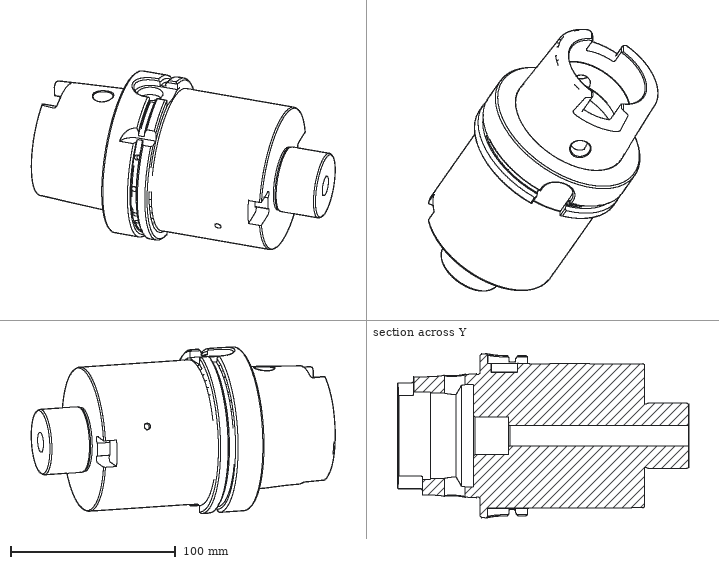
import cadquery as cq
import math


total_length = 177.0
flange_face_x = 50.0
flange_end_x = 79.0
body_end_x = 150.1

shank_end_radius = 35.4
shank_taper = 0.05
shank_taper_end_x = 48.0
shank_end_fillet = 1.2
shank_neck_radius = 37.3
shank_neck_chamfer = 0.4
shank_neck_fillet = 1.5
shank_taper_end_radius = shank_end_radius + shank_taper * shank_taper_end_x

shank_bore_radius = 26.4
shank_bore_mouth_chamfer = 0.7
collar_start_x = 19.8
collar_radius = 25.8
chamber_start_x = 35.5
chamber_radius = 31.0
chamber_cone_length = 3.2
shank_bore_depth = 46.0
coolant_bore_radius = 11.3
coolant_bore_depth = 21.2
screw_hole_radius = 6.0
bore_chamfer = 0.9
cross_hole_x = 34.7
cross_hole_radius = 6.0
cross_hole_chamfer = 0.5

flange_radius = 50.0
flange_chamfer = 1.0
groove_floor_radius = 46.0
groove_left_x = 66.7
groove_right_x = 73.1
groove_wall_left_x = 67.8
groove_wall_right_x = 71.5
groove_corner_fillet = 0.5
groove_left_wall_radius = 48.1
groove_right_wall_radius = 47.6

body_radius = 43.98
body_root_fillet = 1.0
body_end_chamfer_length = 1.0
body_end_chamfer_depth = 0.5
spigot_radius = 20.0
spigot_chamfer = 1.0
spigot_chamfer_depth = 0.7
spigot_neck_radius = 19.5
spigot_neck_length = 1.0
spigot_neck_cone = 0.9

driver_half_width = 9.82
driver_shoulder_height = 32.2
driver_corner_radius = 4.6
driver_end_fillet = 1.5
driver_mouth_chamfer = 1.15
driver_mouth_chamfer_length = 0.5
driver_top_depth = 9.7
driver_bottom_depth = 15.0

keyway_half_width = 10.0
keyway_center_x = 64.8
keyway_floor_height = 44.0
keyway_chamfer = 1.0
keyway_hole_radius = 7.8
keyway_hole_depth = 5.3

notch_offset = 31.7
notch_end_radius = 9.7
notch_tangent_x = 67.3

groove_hole_radius = 1.6
groove_hole_depth = 5.3
groove_hole_angles = (30, 5, -20, -30)
body_hole_radius = 2.0
body_hole_depth = 2.7
body_hole_x = 121.8
body_hole_angle = -20
drill_tip_angle = 118

drive_slot_half_width = 8.23
drive_slot_start_x = 142.0
drive_slot_floor = 30.1
drive_slot_relief_radius = 2.1

clear = flange_radius + 8.8
edge_margin = 0.4


def arc_setback(radius):
    """How far the middle of a square corner's fillet lies from each side of the corner."""
    return radius * (1 - math.sqrt(0.5))


def outer_body():
    """Everything that is turned on the outside, except the gripper groove."""
    neck_start_x = shank_taper_end_x + shank_neck_chamfer
    fillet_offset = arc_setback(shank_neck_fillet)
    root_offset = arc_setback(body_root_fillet)
    end_offset = arc_setback(shank_end_fillet)
    rounded_radius = shank_end_radius + shank_taper * shank_end_fillet
    spigot_cone_x = body_end_x + spigot_neck_length
    outline = (
        cq.Workplane("XY")
        .moveTo(0, 0)
        .lineTo(0, shank_end_radius - shank_end_fillet)
        .threePointArc((end_offset, shank_end_radius - end_offset), (shank_end_fillet, rounded_radius))
        .lineTo(shank_taper_end_x, shank_taper_end_radius)
        .lineTo(neck_start_x, shank_neck_radius)
        .lineTo(flange_face_x - shank_neck_fillet, shank_neck_radius)
        .threePointArc(
            (flange_face_x - fillet_offset, shank_neck_radius + fillet_offset),
            (flange_face_x, shank_neck_radius + shank_neck_fillet),
        )
        .lineTo(flange_face_x, flange_radius - flange_chamfer)
        .lineTo(flange_face_x + flange_chamfer, flange_radius)
        .lineTo(flange_end_x - flange_chamfer, flange_radius)
        .lineTo(flange_end_x, flange_radius - flange_chamfer)
        .lineTo(flange_end_x, body_radius + body_root_fillet)
        .threePointArc(
            (flange_end_x + root_offset, body_radius + root_offset),
            (flange_end_x + body_root_fillet, body_radius),
        )
        .lineTo(body_end_x - body_end_chamfer_length, body_radius)
        .lineTo(body_end_x, body_radius - body_end_chamfer_depth)
        .lineTo(body_end_x, spigot_neck_radius)
        .lineTo(spigot_cone_x, spigot_neck_radius)
        .lineTo(spigot_cone_x + spigot_neck_cone, spigot_radius)
        .lineTo(total_length - spigot_chamfer, spigot_radius)
        .lineTo(total_length, spigot_radius - spigot_chamfer_depth)
        .lineTo(total_length, 0)
        .close()
    )
    return outline.revolve(360, (0, 0, 0), (1, 0, 0))


def bores():
    """Stepped bore along the axis, each step with a chamfered mouth."""
    coolant_end_x = shank_bore_depth + coolant_bore_depth
    outline = (
        cq.Workplane("XY")
        .moveTo(0, 0)
        .lineTo(0, shank_bore_radius + shank_bore_mouth_chamfer)
        .lineTo(shank_bore_mouth_chamfer, shank_bore_radius)
        .lineTo(collar_start_x, shank_bore_radius)
        .lineTo(collar_start_x, collar_radius)
        .lineTo(chamber_start_x, collar_radius)
        .lineTo(chamber_start_x + chamber_cone_length, chamber_radius)
        .lineTo(shank_bore_depth, chamber_radius)
        .lineTo(shank_bore_depth, coolant_bore_radius + bore_chamfer)
        .lineTo(shank_bore_depth + bore_chamfer, coolant_bore_radius)
        .lineTo(coolant_end_x, coolant_bore_radius)
        .lineTo(coolant_end_x, screw_hole_radius + bore_chamfer)
        .lineTo(coolant_end_x + bore_chamfer, screw_hole_radius)
        .lineTo(total_length, screw_hole_radius)
        .lineTo(total_length, 0)
        .close()
    )
    return outline.revolve(360, (0, 0, 0), (1, 0, 0))


def gripper_groove():
    """Ring cut around the flange with two bevelled sides."""
    offset = arc_setback(groove_corner_fillet)
    corner_top = groove_floor_radius + groove_corner_fillet
    outline = (
        cq.Workplane("XY")
        .moveTo(groove_left_x, clear)
        .lineTo(groove_left_x, flange_radius)
        .lineTo(groove_wall_left_x, groove_left_wall_radius)
        .lineTo(groove_wall_left_x, corner_top)
        .threePointArc(
            (groove_wall_left_x + offset, groove_floor_radius + offset),
            (groove_wall_left_x + groove_corner_fillet, groove_floor_radius),
        )
        .lineTo(groove_wall_right_x - groove_corner_fillet, groove_floor_radius)
        .threePointArc(
            (groove_wall_right_x - offset, groove_floor_radius + offset),
            (groove_wall_right_x, corner_top),
        )
        .lineTo(groove_wall_right_x, groove_right_wall_radius)
        .lineTo(groove_right_x, flange_radius)
        .lineTo(groove_right_x, clear)
        .close()
    )
    return outline.revolve(360, (0, 0, 0), (1, 0, 0))


def cross_hole():
    return (
        cq.Workplane("XY", origin=(cross_hole_x, 0, -clear))
        .circle(cross_hole_radius)
        .extrude(2 * clear)
    )


def driver_slot(depth):
    """Slot across the upper wall of the shank; its sides curve outward near the outside."""
    corner_y = driver_half_width + driver_corner_radius
    corner_z = driver_shoulder_height - driver_corner_radius
    offset = arc_setback(driver_corner_radius)
    slot = (
        cq.Workplane("YZ")
        .moveTo(-driver_half_width, 0)
        .lineTo(-driver_half_width, corner_z)
        .threePointArc(
            (-driver_half_width - offset, driver_shoulder_height - offset),
            (-corner_y, driver_shoulder_height),
        )
        .lineTo(-clear, driver_shoulder_height)
        .lineTo(-clear, clear)
        .lineTo(clear, clear)
        .lineTo(clear, driver_shoulder_height)
        .lineTo(corner_y, driver_shoulder_height)
        .threePointArc(
            (driver_half_width + offset, driver_shoulder_height - offset),
            (driver_half_width, corner_z),
        )
        .lineTo(driver_half_width, 0)
        .close()
        .extrude(depth)
    )
    driver_reach = clear - edge_margin
    side_edges = cq.selectors.BoxSelector(
        (depth - edge_margin, -driver_reach, edge_margin),
        (depth + edge_margin, driver_reach, driver_shoulder_height + edge_margin),
    )
    slot = slot.edges(side_edges).fillet(driver_end_fillet)
    mouth = (
        cq.Workplane("XY")
        .moveTo(0, -driver_half_width - driver_mouth_chamfer)
        .lineTo(driver_mouth_chamfer_length, -driver_half_width)
        .lineTo(driver_mouth_chamfer_length, driver_half_width)
        .lineTo(0, driver_half_width + driver_mouth_chamfer)
        .close()
        .extrude(corner_z + driver_corner_radius / 2)
    )
    return slot.union(mouth)


def keyway():
    """Round-ended slot in the top of the flange, open toward the body."""
    height = clear - keyway_floor_height
    length = flange_end_x + body_root_fillet - keyway_center_x
    floor = cq.Workplane("XY", origin=(keyway_center_x, 0, keyway_floor_height))
    round_end = floor.circle(keyway_half_width).extrude(height)
    straight = floor.rect(length, 2 * keyway_half_width).extrude(height)
    return round_end.union(straight.translate((length / 2, 0, 0)))


def keyway_hole():
    return (
        cq.Workplane("XY", origin=(keyway_center_x, 0, keyway_floor_height - keyway_hole_depth))
        .circle(keyway_hole_radius)
        .extrude(keyway_hole_depth)
    )


def upside_down(shape):
    return shape.rotate((0, 0, 0), (1, 0, 0), 180)


def orientation_notch():
    """Square notch in the flange with one rounded end, open toward the body."""
    bottom_y = -notch_offset - notch_end_radius
    offset = arc_setback(notch_end_radius)
    outline = (
        cq.Workplane("XY", origin=(0, 0, notch_offset))
        .moveTo(flange_end_x, -notch_offset)
        .lineTo(notch_tangent_x, -notch_offset)
        .threePointArc(
            (notch_tangent_x - notch_end_radius + offset, -notch_offset - offset),
            (notch_tangent_x - notch_end_radius, bottom_y),
        )
        .lineTo(flange_end_x, bottom_y)
        .close()
    )
    return outline.extrude(clear)


def radial_hole(x, surface_radius, hole_radius, depth, angle):
    """Blind drilled hole square to the axis, on the -Y side, raised by an angle toward +Z."""
    bottom_y = depth - surface_radius
    tip_length = hole_radius / math.tan(math.radians(drill_tip_angle / 2))
    outline = (
        cq.Workplane("XY")
        .moveTo(x, bottom_y - 2 * depth)
        .lineTo(x + hole_radius, bottom_y - 2 * depth)
        .lineTo(x + hole_radius, bottom_y)
        .lineTo(x, bottom_y + tip_length)
        .close()
    )
    hole = outline.revolve(360, (x, 0, 0), (x, 1, 0))
    return hole.rotate((0, 0, 0), (1, 0, 0), -angle)


def drive_slot():
    """Slot in the -Y side of the body end, with a round relief groove along each floor corner."""
    length = body_end_x - drive_slot_start_x
    depth = clear - drive_slot_floor
    relief_z = drive_slot_half_width - drive_slot_relief_radius
    start = cq.Workplane("YZ", origin=(drive_slot_start_x, 0, 0))
    slot = start.center(-drive_slot_floor - depth / 2, 0).rect(depth, 2 * drive_slot_half_width).extrude(length)
    reliefs = (
        start.pushPoints([(-drive_slot_floor, -relief_z), (-drive_slot_floor, relief_z)])
        .circle(drive_slot_relief_radius)
        .extrude(length)
    )
    return slot.union(reliefs)


keyway_reach = keyway_half_width + edge_margin
result = outer_body().cut(keyway()).cut(upside_down(keyway()))
for side in (1, -1):
    rim = cq.selectors.BoxSelector(
        (flange_face_x + flange_chamfer, -keyway_reach, side * (keyway_floor_height + edge_margin)),
        (flange_end_x - flange_chamfer, keyway_reach, side * clear),
    )
    result = result.edges(rim).chamfer(keyway_chamfer)
result = result.cut(keyway_hole()).cut(gripper_groove()).cut(orientation_notch())

result = result.cut(cross_hole())
rim_reach = cross_hole_radius + edge_margin
for side in (1, -1):
    rim = cq.selectors.BoxSelector(
        (cross_hole_x - rim_reach, -rim_reach, side * shank_bore_radius),
        (cross_hole_x + rim_reach, rim_reach, side * flange_radius),
    )
    result = result.edges(rim).chamfer(cross_hole_chamfer)
result = result.cut(bores())
result = result.cut(driver_slot(driver_top_depth))
result = result.cut(upside_down(driver_slot(driver_bottom_depth)))

for slot in (drive_slot(), upside_down(drive_slot())):
    result = result.cut(slot)
groove_middle_x = (groove_wall_left_x + groove_wall_right_x) / 2
for angle in groove_hole_angles:
    result = result.cut(
        radial_hole(groove_middle_x, groove_floor_radius, groove_hole_radius, groove_hole_depth, angle)
    )
body_hole = radial_hole(body_hole_x, body_radius, body_hole_radius, body_hole_depth, body_hole_angle)
result = result.cut(body_hole).cut(upside_down(body_hole))